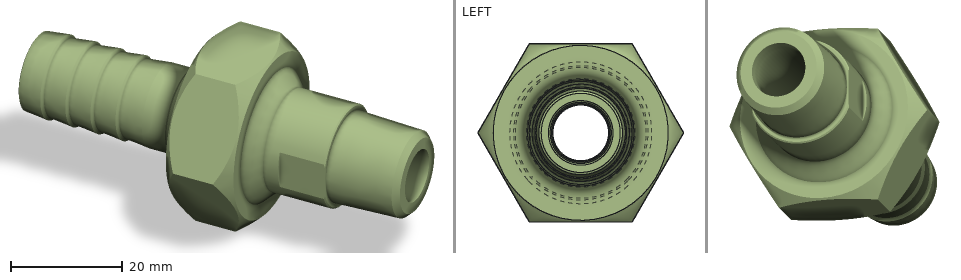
import cadquery as cq
import math


TOTAL_LENGTH = 76.0
COLLAR_START = 29.75
NUT_START = 33.5
NUT_END = 47.0
CONE_END = 50.0
FLATS_START = 53.0
SHANK_END = 62.0

HOSE_BORE_D = 11.0
BARB_COUNT = 5
BARB_PITCH = 5.0
BARB_ROOT_D = 15.0
BARB_CREST_D = 16.0
BARB_STEP = 0.5
TIP_D = 14.2
HOSE_BORE_CHAMFER = 0.3
COLLAR_D = 17.5
COLLAR_CHAMFER = 0.5
FLANGE_D = 23.5
FLANGE_THICKNESS = 2.5

NUT_ACROSS_FLATS = 32.0
NUT_FACE_D = 31.4
NUT_WALL = 3.5
NUT_HOLE_D = 18.5
NUT_HOLE_CHAMFER = 0.3
UNION_THREAD_D = 24.12

END_BORE_D = 10.0
END_BORE_CHAMFER = 0.25
CONE_BASE_D = 25.5
SHANK_D = 19.5
SHANK_CHAMFER = 0.25
SHANK_ACROSS_FLATS = 18.0
PIPE_THREAD_D = 17.3
PIPE_THREAD_TIP_D = 16.4
PIPE_THREAD_CHAMFER = 1.1

FLANGE_START = NUT_START + NUT_WALL
FLANGE_END = FLANGE_START + FLANGE_THICKNESS


def revolve_profile(stations):
    """Solid of revolution about X from (x, diameter) stations, closed along the axis."""
    outline = [(x, diameter / 2) for x, diameter in stations]
    first_x = outline[0][0]
    last_x = outline[-1][0]
    profile = cq.Workplane("XY").polyline([(first_x, 0), *outline, (last_x, 0)]).close()
    return profile.revolve(360, (0, 0, 0), (1, 0, 0))


def make_hose_tail():
    half_step = BARB_STEP / 2
    stations = [(0, TIP_D)]
    for barb in range(BARB_COUNT):
        start = barb * BARB_PITCH
        end = start + BARB_PITCH
        is_last = barb == BARB_COUNT - 1
        stations.append((start + half_step, BARB_ROOT_D))
        stations.append((end if is_last else end - half_step, BARB_CREST_D))
    stations += [
        (COLLAR_START, BARB_CREST_D),
        (COLLAR_START, COLLAR_D - 2 * COLLAR_CHAMFER),
        (COLLAR_START + COLLAR_CHAMFER, COLLAR_D),
        (FLANGE_START, COLLAR_D),
        (FLANGE_START, FLANGE_D),
        (FLANGE_END, FLANGE_D),
    ]
    bore = revolve_profile([
        (0, HOSE_BORE_D + 2 * HOSE_BORE_CHAMFER),
        (HOSE_BORE_CHAMFER, HOSE_BORE_D),
        (FLANGE_END, HOSE_BORE_D),
    ])
    return revolve_profile(stations).cut(bore)


def make_union_nut():
    across_corners = NUT_ACROSS_FLATS / math.cos(math.pi / 6)
    corner_chamfer = (across_corners - NUT_FACE_D) / 2
    hexagon = (
        cq.Workplane("YZ", origin=(NUT_START, 0, 0))
        .polygon(6, across_corners)
        .extrude(NUT_END - NUT_START)
    )
    chamfered_blank = revolve_profile([
        (NUT_START, NUT_FACE_D),
        (NUT_START + corner_chamfer, across_corners),
        (NUT_END - corner_chamfer, across_corners),
        (NUT_END, NUT_FACE_D),
    ])
    opening = revolve_profile([
        (NUT_START, NUT_HOLE_D + 2 * NUT_HOLE_CHAMFER),
        (NUT_START + NUT_HOLE_CHAMFER, NUT_HOLE_D),
        (FLANGE_START, NUT_HOLE_D),
        (FLANGE_START, UNION_THREAD_D),
        (NUT_END, UNION_THREAD_D),
    ])
    return hexagon.intersect(chamfered_blank).cut(opening)


def make_end_piece():
    body = revolve_profile([
        (FLANGE_END, UNION_THREAD_D),
        (NUT_END, UNION_THREAD_D),
        (NUT_END, CONE_BASE_D),
        (CONE_END, SHANK_D),
        (SHANK_END - SHANK_CHAMFER, SHANK_D),
        (SHANK_END, SHANK_D - 2 * SHANK_CHAMFER),
        (SHANK_END, PIPE_THREAD_D),
        (TOTAL_LENGTH - PIPE_THREAD_CHAMFER, PIPE_THREAD_TIP_D),
        (TOTAL_LENGTH, PIPE_THREAD_TIP_D - 2 * PIPE_THREAD_CHAMFER),
    ])
    bore = revolve_profile([
        (FLANGE_END, END_BORE_D + 2 * END_BORE_CHAMFER),
        (FLANGE_END + END_BORE_CHAMFER, END_BORE_D),
        (TOTAL_LENGTH, END_BORE_D),
    ])
    return body.cut(bore).cut(wrench_flat_cutters())


def wrench_flat_cutters():
    """Blocks that leave two parallel flats, facing -Y and +Y, on the shank."""
    length = SHANK_END - FLATS_START
    cutter_depth = SHANK_D - SHANK_ACROSS_FLATS
    offset = (SHANK_ACROSS_FLATS + cutter_depth) / 2
    return (
        cq.Workplane("XY")
        .pushPoints([(FLATS_START + length / 2, -offset), (FLATS_START + length / 2, offset)])
        .box(length, cutter_depth, SHANK_D)
    )


hose_tail = make_hose_tail()
union_nut = make_union_nut()
end_piece = make_end_piece()

result = cq.Compound.makeCompound([hose_tail.val(), union_nut.val(), end_piece.val()])